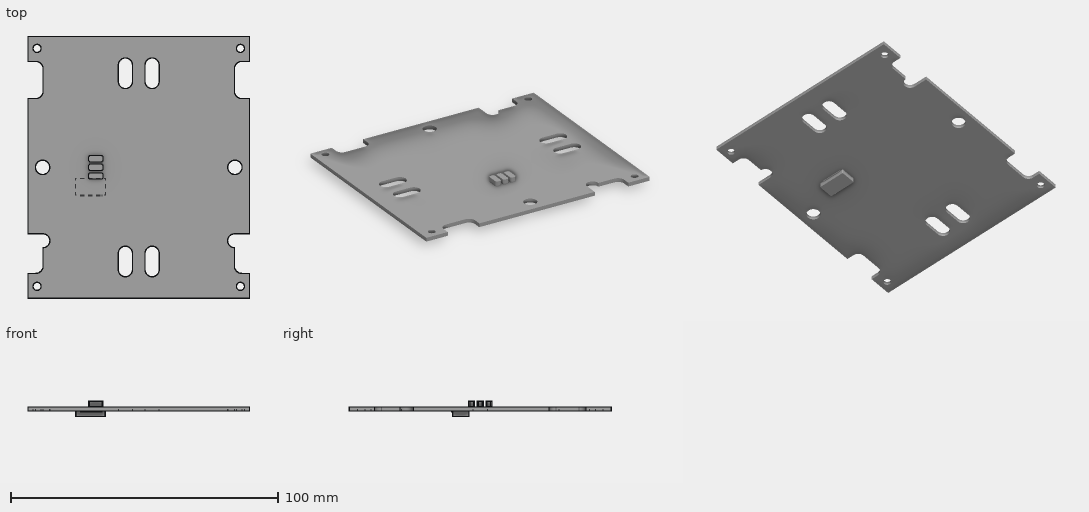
import cadquery as cq

BOARD_X = 83.0
BOARD_Y = 98
BOARD_THICKNESS = 1.6

CORNER_HOLE_DIAMETER = 2.9
CORNER_HOLE_X = 38.0
CORNER_HOLE_Y = 44.5
SIDE_HOLE_DIAMETER = 5.3
SIDE_HOLE_X = 36.0

SLOT_WIDTH = 5.2
SLOT_LENGTH = 11.4
SLOT_X = 5.0
SLOT_Y = 35.2

NOTCH_DEPTH = 5.7
NOTCH_OUTER_Y = 39.6
REAR_NOTCH_INNER_Y = 25.8
FRONT_NOTCH_INNER_Y = 24.9
NOTCH_RADIUS = 2.6
RELIEF_RADIUS = 2.5

TERMINAL_COUNT = 3
TERMINAL_LENGTH = 5.5
TERMINAL_WIDTH = 2.4
TERMINAL_HEIGHT = 2.1
TERMINAL_GAP = 0.1
TERMINAL_PITCH = 3.2
TERMINAL_X = -16.1
TERMINAL_CHAMFER = 0.5

CONNECTOR_LENGTH = 11.2
CONNECTOR_WIDTH = 6.3
CONNECTOR_HEIGHT = 2.1
CONNECTOR_X = -18.0
CONNECTOR_Y = -7.3
CONNECTOR_CORNER = 0.3

LIP_LENGTH = 8.1
LIP_REACH = 0.3
LIP_THICKNESS = 0.4
LIP_X = -17.7


def make_board():
    """Flat plate with its holes, slots and edge notches cut through."""
    board = cq.Workplane("XY").rect(BOARD_X, BOARD_Y).extrude(BOARD_THICKNESS)
    corner_holes = (
        cq.Workplane("XY")
        .rect(2 * CORNER_HOLE_X, 2 * CORNER_HOLE_Y, forConstruction=True)
        .vertices()
        .circle(CORNER_HOLE_DIAMETER / 2)
        .extrude(BOARD_THICKNESS)
    )
    side_holes = (
        cq.Workplane("XY")
        .pushPoints([(-SIDE_HOLE_X, 0), (SIDE_HOLE_X, 0)])
        .circle(SIDE_HOLE_DIAMETER / 2)
        .extrude(BOARD_THICKNESS)
    )
    slots = (
        cq.Workplane("XY")
        .rect(2 * SLOT_X, 2 * SLOT_Y, forConstruction=True)
        .vertices()
        .slot2D(SLOT_LENGTH, SLOT_WIDTH, 90)
        .extrude(BOARD_THICKNESS)
    )
    board = board.cut(corner_holes).cut(side_holes).cut(slots)
    for side in (-1, 1):
        board = board.cut(rear_notch(side)).cut(front_notch(side))
    return board


def edge_pocket(side, outer_y, inner_y):
    """Rectangular notch from the board edge to the notch wall."""
    return (
        cq.Workplane("XY")
        .center(side * (BOARD_X / 2 - NOTCH_DEPTH / 2), (outer_y + inner_y) / 2)
        .rect(NOTCH_DEPTH, abs(outer_y - inner_y))
        .extrude(BOARD_THICKNESS)
    )


def wall_face(side):
    """Selector for the face of a notch that lies on its wall."""
    return "<X" if side > 0 else ">X"


def rear_notch(side):
    """Notch near the +Y end, with both wall corners rounded."""
    pocket = edge_pocket(side, NOTCH_OUTER_Y, REAR_NOTCH_INNER_Y)
    return pocket.faces(wall_face(side)).edges("|Z").fillet(NOTCH_RADIUS)


def front_notch(side):
    """Notch near the -Y end: outer corner rounded, inner corner relieved by a round hole."""
    pocket = edge_pocket(side, -NOTCH_OUTER_Y, -FRONT_NOTCH_INNER_Y)
    pocket = pocket.faces(wall_face(side)).edges("|Z").edges("<Y").fillet(NOTCH_RADIUS)
    relief = (
        cq.Workplane("XY")
        .center(side * (BOARD_X / 2 - NOTCH_DEPTH), -FRONT_NOTCH_INNER_Y - RELIEF_RADIUS)
        .circle(RELIEF_RADIUS)
        .extrude(BOARD_THICKNESS)
    )
    return pocket.union(relief)


def make_terminal(y):
    """Block with chamfered upright edges, above the board."""
    return (
        cq.Workplane("XY", origin=(TERMINAL_X, y, BOARD_THICKNESS + TERMINAL_GAP))
        .rect(TERMINAL_LENGTH, TERMINAL_WIDTH)
        .extrude(TERMINAL_HEIGHT)
        .edges("|Z")
        .chamfer(TERMINAL_CHAMFER)
    )


def make_connector():
    """Block with rounded upright edges and a thin lip, hanging under the board."""
    block = (
        cq.Workplane("XY", origin=(CONNECTOR_X, CONNECTOR_Y, 0))
        .rect(CONNECTOR_LENGTH, CONNECTOR_WIDTH)
        .extrude(-CONNECTOR_HEIGHT)
        .edges("|Z")
        .fillet(CONNECTOR_CORNER)
    )
    lip_outer_y = CONNECTOR_Y - CONNECTOR_WIDTH / 2 - LIP_REACH
    lip = (
        cq.Workplane("XY")
        .center(LIP_X, (CONNECTOR_Y + lip_outer_y) / 2)
        .rect(LIP_LENGTH, CONNECTOR_Y - lip_outer_y)
        .extrude(-LIP_THICKNESS)
    )
    return block.union(lip)


board = make_board()
connector = make_connector()
row_start = -TERMINAL_PITCH * (TERMINAL_COUNT - 1) / 2
terminals = [make_terminal(row_start + i * TERMINAL_PITCH) for i in range(TERMINAL_COUNT)]

result = cq.Compound.makeCompound([board.val(), connector.val(), *[t.val() for t in terminals]])